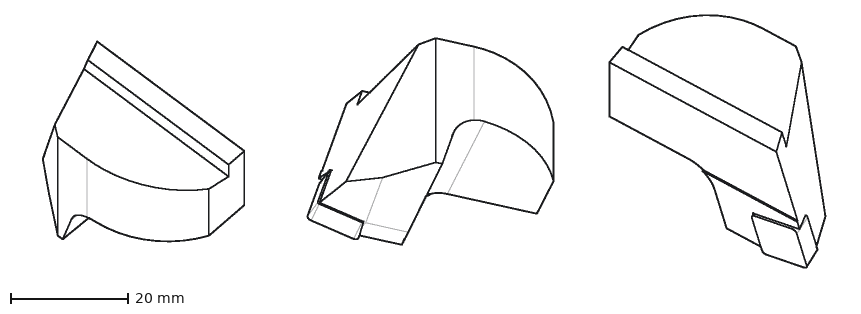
import cadquery as cq
import math


def tan_deg(angle):
    return math.tan(math.radians(angle))


insert_size = 9.5
insert_corner_radius = 0.8
insert_thickness = 4.0
insert_clearance = 7.0
insert_center = 5.65
lead_angle = 15.0

length = 41.0
front_y = -20.7
land_y = -0.5
back_y = -0.75
land_top = 13.3
tongue_y = -4.7
tongue_top = 29.6
height = 30.5
top_slope = 15.0
bottom_z = 0.65
bottom_slope = 6.0

side_corner = (3.4, -10.75)
flat_start_x = 16.1
flat_end_x = 22.9
nose_radius = 20.3

notch_z = 14.2
notch_foot_x = 16.8
notch_fillet = 5.75

side_top_x = 6.75
side_relief = 20.0
heel_height = 2.8
heel_relief = 5.0

margin = 8.2


def tapered_square(sketch, offset=0):
    """Extrude a turned square from Y = 0, narrowing with depth by the clearance angle.

    The offset moves it along both of its own axes, past its two outer sides.
    """
    face = cq.Plane(origin=(insert_center, 0, insert_center), xDir=(1, 0, 0), normal=(0, -1, 0))
    return (
        cq.Workplane(face)
        .transformed(rotate=(0, 0, -lead_angle))
        .center(-offset, -offset)
        .placeSketch(sketch)
        .extrude(insert_thickness, taper=insert_clearance)
    )


def make_insert():
    """Square insert whose corner rounds shrink to a smaller radius at its base."""
    outline = cq.Sketch().rect(insert_size, insert_size).vertices().fillet(insert_corner_radius)
    return tapered_square(outline)


def insert_pocket():
    """Seat matching the insert's two inner sides, open past its two outer sides."""
    outline = cq.Sketch().rect(insert_size + margin, insert_size + margin)
    return tapered_square(outline, offset=margin / 2)


def plan_prism():
    """Holder outline seen along Z: slanted side, flat front and round nose."""
    nose_run = length - flat_end_x
    nose_center_y = front_y + nose_radius
    nose_end_y = nose_center_y - math.sqrt(nose_radius**2 - nose_run**2)
    half_angle = math.asin(nose_run / nose_radius) / 2
    nose_middle = (
        flat_end_x + nose_radius * math.sin(half_angle),
        nose_center_y - nose_radius * math.cos(half_angle),
    )
    return (
        cq.Workplane("XY")
        .moveTo(-margin, land_y)
        .lineTo(-margin, side_corner[1])
        .lineTo(*side_corner)
        .lineTo(flat_start_x, front_y)
        .lineTo(flat_end_x, front_y)
        .threePointArc(nose_middle, (length, nose_end_y))
        .lineTo(length, land_y)
        .close()
        .extrude(height)
    )


def section_prism():
    """Holder outline seen along X: underside level then sloped, sloped top and tongue."""
    base_y = -insert_thickness
    bottom_rise = tan_deg(bottom_slope)
    ledge_z = height - (tongue_y - front_y) * tan_deg(top_slope)
    outline = [
        (land_y, bottom_z),
        (land_y, land_top),
        (back_y, land_top),
        (back_y, tongue_top),
        (tongue_y, tongue_top),
        (tongue_y, ledge_z),
        (front_y, height),
        (front_y, bottom_z + (base_y - front_y) * bottom_rise),
        (base_y, bottom_z),
    ]
    return (
        cq.Workplane("YZ", origin=(-margin, 0, 0))
        .polyline(outline)
        .close()
        .extrude(length + 2 * margin)
    )


def notch():
    """Space under the overhang, with a filleted inner corner."""
    foot_x = notch_foot_x - (bottom_z + margin) * tan_deg(lead_angle)
    corner_x = notch_foot_x + (notch_z - bottom_z) * tan_deg(lead_angle)
    outline = [
        (foot_x, -margin),
        (corner_x, notch_z),
        (length + margin, notch_z),
        (length + margin, -margin),
    ]
    return (
        cq.Workplane("XZ")
        .polyline(outline)
        .close()
        .extrude(-front_y + margin)
        .edges(cq.selectors.NearestToPointSelector((corner_x, front_y / 2, notch_z)))
        .fillet(notch_fillet)
    )


def space_beyond(point, turn, relief):
    """Block outside a face through point; its normal is turned from -X towards -Z, then leaned to -Y."""
    turn = math.radians(turn)
    relief = math.radians(relief)
    normal = (
        -math.cos(turn) * math.cos(relief),
        -math.sin(relief),
        -math.sin(turn) * math.cos(relief),
    )
    block_size = 4 * length
    face = cq.Plane(origin=point, xDir=(-normal[1], normal[0], 0), normal=normal)
    return cq.Workplane(face).rect(block_size, block_size).extrude(length)


def make_holder():
    side_space = space_beyond((side_top_x, back_y, tongue_top), -lead_angle, side_relief)
    heel_space = space_beyond((*side_corner, heel_height), 90 - lead_angle, heel_relief)
    return (
        plan_prism()
        .intersect(section_prism())
        .cut(notch())
        .cut(side_space)
        .cut(heel_space)
        .cut(insert_pocket())
        .solids()
    )


holder = make_holder()
insert = make_insert()
result = cq.Compound.makeCompound([holder.val(), insert.val()])